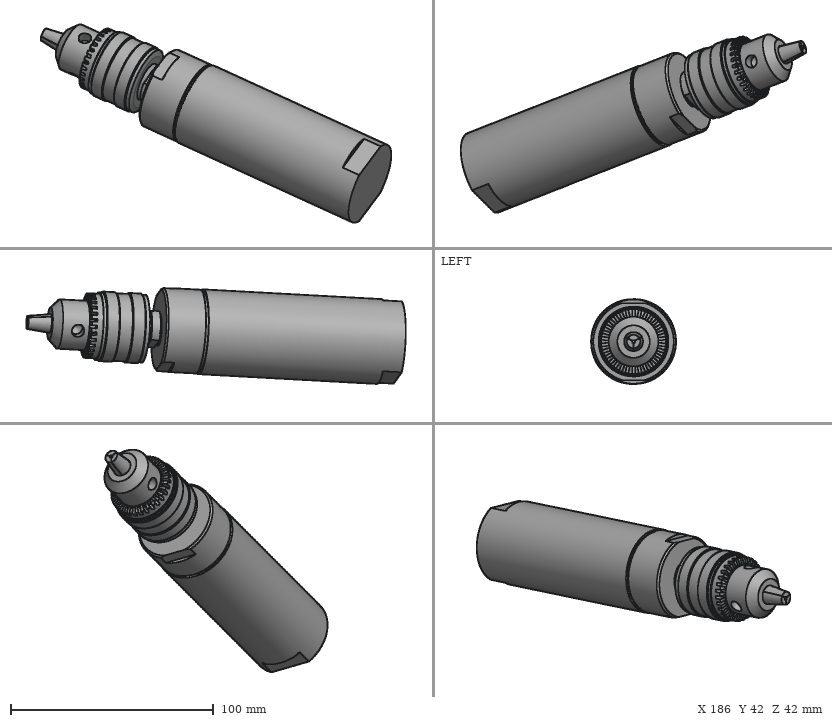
import cadquery as cq
import math


TOTAL_LENGTH = 186.0
BODY_DIA = 42.0

JAW_TIP_DIA = 6.6
JAW_BASE_DIA = 9.4
JAW_BORE_DIA = 1.5
JAW_GAP = 0.1
JAW_COUNT = 3
FIRST_JAW_GAP_ANGLE = 30.0

NOSE_X = 11.3
NOSE_TIP_DIA = 16.0
NOSE_DIA = 24.5
KEY_HOLE_X = 23.4
KEY_HOLE_DIA = 6.2
KEY_HOLE_DEPTH = 6.0
KEY_HOLE_COUNT = 3
FIRST_KEY_HOLE_ANGLE = 90.0
DRILL_POINT_ANGLE = 118.0

RING_X = 28.9
RING_FACE_DIA = 27.47
RING_DIA = 32.0
RING_FACE_RISE = 0.6
TOOTH_COUNT = 30
TOOTH_GAP_WIDTH = 1.5
TOOTH_GAP_END_X = 32.2
TOOTH_GAP_FLOOR_DIA = NOSE_DIA
FIRST_TOOTH_GAP_ANGLE = 0.0

SLEEVE_X = 35.1
SLEEVE_DIA = 33.5
BAND_DIA = 34.5
BAND_STARTS = (36.6, 49.6)
BAND_LENGTH = 6.8
BAND_BEVEL = 0.5
SLEEVE_END_X = 58.3
CHUCK_END_X = 58.9
CHUCK_END_FACE_DIA = RING_FACE_DIA
HUB_DIA = 19.5

SPINDLE_DIA = 16.0
COLLAR_X = 60.8
COLLAR_END_X = 65.0
COLLAR_DIA = 20.0
COLLAR_ACROSS_FLATS = 14.95

BODY_X = 66.0
HEAD_DIA = 41.5
HEAD_FACE_DIA = 39.59
GROOVE_DIA = HEAD_FACE_DIA
HEAD_FLAT_LENGTH = 6.2
HEAD_ACROSS_FLATS = 38.0
GROOVE_X = 85.7
GROOVE_WIDTH = 1.4
TAIL_FLAT_LENGTH = 9.4
TAIL_ACROSS_FLATS = 36.4


def turned(stations):
    """Solid of revolution about X through (x, diameter) stations, closed along the axis."""
    first_x = stations[0][0]
    last_x = stations[-1][0]
    rim = [(x, diameter / 2) for x, diameter in stations]
    profile = [(first_x, 0)] + rim + [(last_x, 0)]
    return cq.Workplane("XY").polyline(profile).close().revolve(360, (0, 0, 0), (1, 0, 0))


def about_axis(tool, count, first_angle):
    """Copies of a tool spread evenly around X."""
    copies = [
        tool.rotate((0, 0, 0), (1, 0, 0), first_angle + index * 360 / count).val()
        for index in range(count)
    ]
    return cq.Workplane("XY").newObject([cq.Compound.makeCompound(copies)])


def side_flats(start_x, length, across_flats):
    """Pair of blocks that leave flats facing +Z and -Z."""
    block = cq.Workplane("XY").box(length, BODY_DIA, BODY_DIA, centered=(False, True, False))
    upper = block.translate((start_x, 0, across_flats / 2))
    return upper.union(upper.mirror("XY"))


def jaws():
    cone = turned([(0, JAW_TIP_DIA), (NOSE_X, JAW_BASE_DIA)])
    bore = turned([(0, JAW_BORE_DIA), (NOSE_X, JAW_BORE_DIA)])
    gap = cq.Workplane("XY").box(NOSE_X, JAW_BASE_DIA, JAW_GAP, centered=(False, False, True))
    return cone.cut(bore).cut(about_axis(gap, JAW_COUNT, FIRST_JAW_GAP_ANGLE))


def nose():
    bevel_length = (NOSE_DIA - NOSE_TIP_DIA) / 2
    shape = turned([(NOSE_X, NOSE_TIP_DIA), (NOSE_X + bevel_length, NOSE_DIA), (RING_X, NOSE_DIA)])
    radius = KEY_HOLE_DIA / 2
    floor = NOSE_DIA / 2 - KEY_HOLE_DEPTH
    point = floor - radius / math.tan(math.radians(DRILL_POINT_ANGLE / 2))
    outline = [(0, point), (radius, floor), (radius, NOSE_DIA), (0, NOSE_DIA)]
    drill = cq.Workplane("XY").polyline(outline).close().revolve(360, (0, 0, 0), (0, 1, 0))
    drill = drill.translate((KEY_HOLE_X, 0, 0))
    return shape.cut(about_axis(drill, KEY_HOLE_COUNT, FIRST_KEY_HOLE_ANGLE))


def toothed_ring():
    ring = turned([
        (RING_X, RING_FACE_DIA),
        (RING_X + RING_FACE_RISE, RING_DIA),
        (SLEEVE_X, RING_DIA),
    ])
    radius = TOOTH_GAP_WIDTH / 2
    end_centre_x = TOOTH_GAP_END_X - radius
    height = RING_DIA - TOOTH_GAP_FLOOR_DIA
    slot = (
        cq.Workplane("XY", origin=(0, 0, TOOTH_GAP_FLOOR_DIA / 2))
        .moveTo(NOSE_X, -radius)
        .lineTo(end_centre_x, -radius)
        .threePointArc((TOOTH_GAP_END_X, 0), (end_centre_x, radius))
        .lineTo(NOSE_X, radius)
        .close()
        .extrude(height)
    )
    return ring.cut(about_axis(slot, TOOTH_COUNT, FIRST_TOOTH_GAP_ANGLE))


def sleeve():
    stations = [(SLEEVE_X, SLEEVE_DIA)]
    for start in BAND_STARTS:
        end = start + BAND_LENGTH
        stations += [
            (start, SLEEVE_DIA),
            (start + BAND_BEVEL, BAND_DIA),
            (end - BAND_BEVEL, BAND_DIA),
            (end, SLEEVE_DIA),
        ]
    stations += [
        (SLEEVE_END_X, SLEEVE_DIA),
        (CHUCK_END_X, CHUCK_END_FACE_DIA),
        (CHUCK_END_X, HUB_DIA),
        (COLLAR_X, SPINDLE_DIA),
    ]
    return turned(stations)


def spindle():
    collar = turned([(COLLAR_X, COLLAR_DIA), (COLLAR_END_X, COLLAR_DIA)])
    collar = collar.cut(side_flats(COLLAR_X, COLLAR_END_X - COLLAR_X, COLLAR_ACROSS_FLATS))
    neck = turned([(COLLAR_END_X, SPINDLE_DIA), (BODY_X, SPINDLE_DIA)])
    return collar.union(neck)


def motor_body():
    bevel_length = (HEAD_DIA - HEAD_FACE_DIA) / 2
    groove_end_x = GROOVE_X + GROOVE_WIDTH
    body = turned([
        (BODY_X, HEAD_FACE_DIA),
        (BODY_X + bevel_length, HEAD_DIA),
        (GROOVE_X, HEAD_DIA),
        (GROOVE_X, GROOVE_DIA),
        (groove_end_x, GROOVE_DIA),
        (groove_end_x, BODY_DIA),
        (TOTAL_LENGTH, BODY_DIA),
    ])
    tail_flat_x = TOTAL_LENGTH - TAIL_FLAT_LENGTH
    body = body.cut(side_flats(BODY_X, HEAD_FLAT_LENGTH, HEAD_ACROSS_FLATS))
    return body.cut(side_flats(tail_flat_x, TAIL_FLAT_LENGTH, TAIL_ACROSS_FLATS))


chuck = jaws().union(nose()).union(toothed_ring()).union(sleeve())
result = chuck.union(spindle()).union(motor_body())